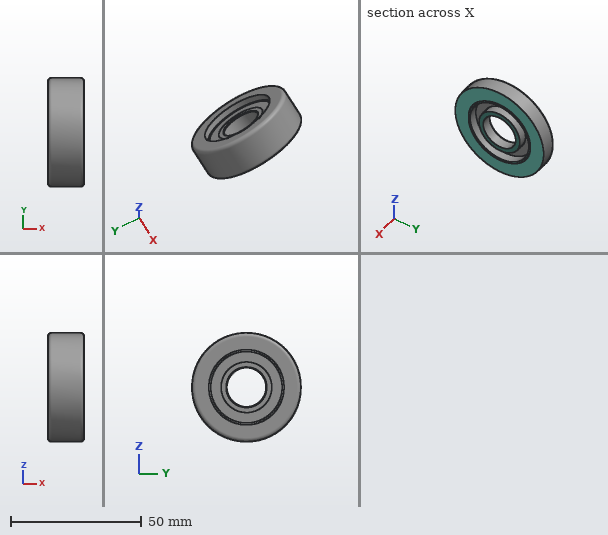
import cadquery as cq

outer_radius = 21.0
roller_width = 14.0
rim_fillet = 1.5

recess_depth = 2.5
bearing_width = roller_width - 2 * recess_depth
bearing_radius = 14.5
shield_outer_radius = 13.75
shield_inner_radius = 9.75
bore_radius = 7.5
bore_chamfer = 0.3
shield_thickness = 0.85


def ring(outer, inner, width, start):
    """Plain ring around the X axis, reaching from start to start + width."""
    return cq.Workplane("YZ").workplane(offset=start).circle(outer).circle(inner).extrude(width)


def make_tyre():
    """Thick roller body with rounded outer rims and a straight bearing seat."""
    blank = ring(outer_radius, bearing_radius, roller_width, -roller_width / 2)
    outer_rims = blank.edges(cq.selectors.RadiusNthSelector(-1))
    return outer_rims.fillet(rim_fillet)


def make_outer_race():
    """Outer bearing ring held in the tyre."""
    return ring(bearing_radius, shield_outer_radius, bearing_width, -bearing_width / 2)


def make_inner_race():
    """Inner bearing ring with both ends of its bore chamfered."""
    race = ring(shield_inner_radius, bore_radius, bearing_width, -bearing_width / 2)
    bore_edges = race.edges(cq.selectors.RadiusNthSelector(0))
    return bore_edges.chamfer(bore_chamfer)


def make_shield(start):
    """Thin cover ring closing the gap between the races."""
    return ring(shield_outer_radius, shield_inner_radius, shield_thickness, start)


tyre = make_tyre()
outer_race = make_outer_race()
inner_race = make_inner_race()

shield_starts = [-bearing_width / 2, bearing_width / 2 - shield_thickness]
shields = [make_shield(start).val() for start in shield_starts]

result = cq.Compound.makeCompound([tyre.val(), outer_race.val(), inner_race.val(), *shields])